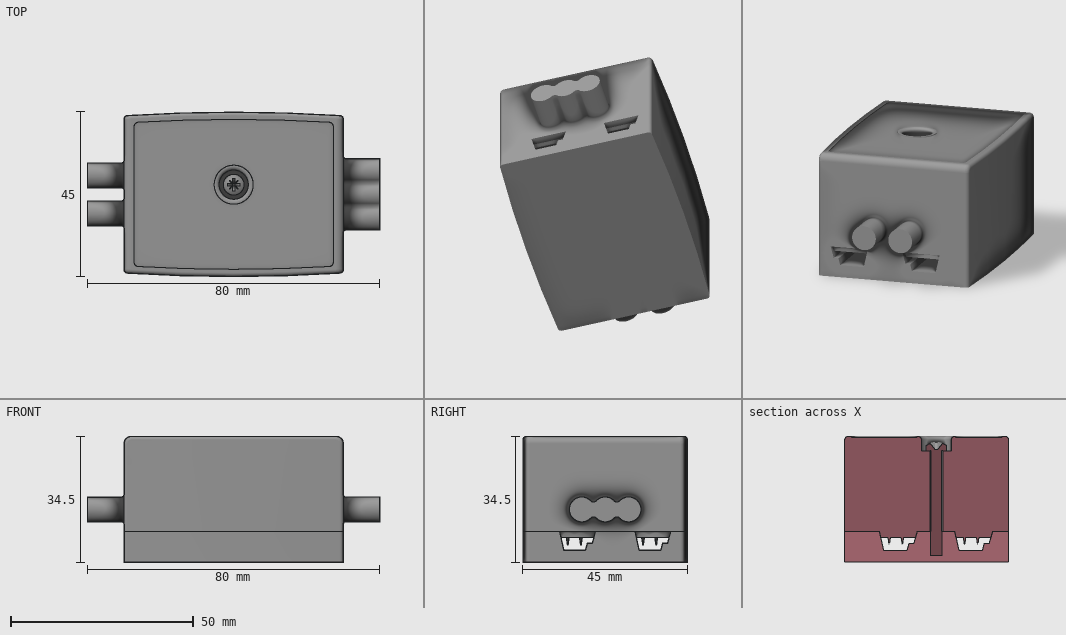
import cadquery as cq
import math

LENGTH = 60.0
WIDTH = 45.0
SIDE_BOW = 1.0
HEIGHT = 34.5
BASE_HEIGHT = 8.5
END_FILLET = 2.0
SIDE_FILLET = 1.0

LABEL_DEPTH = 0.3
LABEL_END_MARGIN = 2.75
LABEL_SIDE_MARGIN = 2.0
LABEL_CORNER = 1.2
LABEL_ISLAND_DIAMETER = 10.67

SCREW_Y = 2.65
WELL_DIAMETER = 8.0
WELL_MOUTH_FILLET = 1.0
WELL_DEPTH = 4.0
CLEARANCE_DIAMETER = 3.5
SHANK_DIAMETER = 3.0
SHANK_END_Z = 2.0
HEAD_DIAMETER = 5.7
HEAD_RIM_HEIGHT = 1.5
HEAD_DOME_HEIGHT = 0.9
DRIVE_SPAN = 3.8
DRIVE_FLOOR = 0.6
DRIVE_WIDTH = 0.75
DRIVE_DEPTH = 2.0
TICK_SPAN = 3.3
TICK_WIDTH = 0.1
TICK_DEPTH = 0.4

CABLE_REACH = 10.0
CABLE_ROOT = 1.0
CABLE_Z = 14.5
CABLE_RADIUS = 3.4
SINGLE_CABLE_OFFSET = 5.2
SINGLE_FLARE = 0.7
TRIPLE_PITCH = 6.4
TRIPLE_FLARE = 0.6
VALLEY_RADIUS = 1.0

CHANNEL_PITCH = 20.6
CHANNEL_TOP_LEFT = 17.95
CHANNEL_LEDGE_OUTER = 17.05
CHANNEL_LEDGE_INNER = 15.7
CHANNEL_FLOOR_LEFT = 15.2
CHANNEL_FLOOR_RIGHT = 8.45
CHANNEL_TOP_RIGHT = 7.3
CHANNEL_LEDGE_Z = 5.3
CHANNEL_FLOOR_Z = 3.4
CHANNEL_TAPER = 0.85
BAR_BOTTOM_Z = 6.8
BAR_END_MARGIN = 2.0
PIN_OFFSETS = (13.95, 10.35)
PIN_ROOT_DIAMETER = 0.8
PIN_TIP_DIAMETER = 0.2
PIN_TIP_Z = 4.75

HALF_LENGTH = LENGTH / 2
WELL_FLOOR_Z = HEIGHT - WELL_DEPTH
CHANNEL_SHIFTS = (0.0, -CHANNEL_PITCH)


def bowed_block(end_margin, side_margin, bottom, top):
    """Block with straight ends and outward-bowed long sides, inset by the given margins."""
    crown = WIDTH / 2 - side_margin
    bow_radius = (HALF_LENGTH**2 + SIDE_BOW**2) / (2 * SIDE_BOW) - side_margin
    half = HALF_LENGTH - end_margin
    corner = crown - bow_radius + math.sqrt(bow_radius**2 - half**2)
    return (
        cq.Workplane("XY", origin=(0, 0, bottom))
        .moveTo(-half, -corner)
        .threePointArc((0, -crown), (half, -corner))
        .lineTo(half, corner)
        .threePointArc((0, crown), (-half, corner))
        .close()
        .extrude(top - bottom)
    )


def cylinder(diameter, x, y, bottom, top):
    return cq.Workplane("XY", origin=(x, y, bottom)).circle(diameter / 2).extrude(top - bottom)


def enclosure_envelope():
    body = bowed_block(0, 0, 0, HEIGHT)
    body = body.faces(">Z").edges("|Y").fillet(END_FILLET)
    return body.faces(">Y or <Y").edges("not <Z").fillet(SIDE_FILLET)


def label_recess():
    pocket = bowed_block(LABEL_END_MARGIN, LABEL_SIDE_MARGIN, HEIGHT - LABEL_DEPTH, HEIGHT)
    pocket = pocket.edges("|Z").fillet(LABEL_CORNER)
    return pocket.cut(cylinder(LABEL_ISLAND_DIAMETER, 0, SCREW_Y, HEIGHT - LABEL_DEPTH, HEIGHT))


def screw_well():
    """Counterbore with a rounded mouth and a clearance hole below it."""
    radius = WELL_DIAMETER / 2
    mouth_radius = radius + WELL_MOUTH_FILLET
    mid = WELL_MOUTH_FILLET * (1 - math.sqrt(0.5))
    return (
        cq.Workplane("XZ", origin=(0, SCREW_Y, 0))
        .moveTo(0, BASE_HEIGHT)
        .lineTo(CLEARANCE_DIAMETER / 2, BASE_HEIGHT)
        .lineTo(CLEARANCE_DIAMETER / 2, WELL_FLOOR_Z)
        .lineTo(radius, WELL_FLOOR_Z)
        .lineTo(radius, HEIGHT - WELL_MOUTH_FILLET)
        .threePointArc((radius + mid, HEIGHT - mid), (mouth_radius, HEIGHT))
        .lineTo(0, HEIGHT)
        .close()
        .revolve(360, (0, 0, 0), (0, 1, 0))
    )


def channel(shift):
    """Stepped slot along X, open at the top of the base, with a tapering -Y wall."""

    def section(taper):
        return [
            (CHANNEL_TOP_LEFT + shift, BASE_HEIGHT),
            (CHANNEL_LEDGE_OUTER + shift, CHANNEL_LEDGE_Z),
            (CHANNEL_LEDGE_INNER + shift, CHANNEL_LEDGE_Z),
            (CHANNEL_FLOOR_LEFT + shift, CHANNEL_FLOOR_Z),
            (CHANNEL_FLOOR_RIGHT + taper + shift, CHANNEL_FLOOR_Z),
            (CHANNEL_TOP_RIGHT + taper + shift, BASE_HEIGHT),
        ]

    return (
        cq.Workplane("YZ", origin=(-HALF_LENGTH, 0, 0))
        .polyline(section(0))
        .close()
        .workplane(offset=LENGTH)
        .polyline(section(CHANNEL_TAPER))
        .close()
        .loft(ruled=True)
    )


def contact_bar(shift):
    """Bar that fills the top of one channel, with tapered contact pins below it."""
    slab = cq.Workplane("XY", origin=(0, 0, BAR_BOTTOM_Z)).box(
        LENGTH - 2 * BAR_END_MARGIN, WIDTH, BASE_HEIGHT - BAR_BOTTOM_Z, centered=(True, True, False)
    )
    bar = channel(shift).intersect(slab)
    for offset in PIN_OFFSETS:
        y = offset + shift
        pin = cq.Solid.makeCone(
            PIN_ROOT_DIAMETER / 2,
            PIN_TIP_DIAMETER / 2,
            BAR_BOTTOM_Z - PIN_TIP_Z,
            pnt=cq.Vector(0, y, BAR_BOTTOM_Z),
            dir=cq.Vector(0, 0, -1),
        )
        bar = bar.union(cq.Workplane(pin))
    return bar


def single_cable(y):
    """Round stub on the -X end, flared where it leaves the cover."""
    flare_mid = SINGLE_FLARE * (1 - math.sqrt(0.5))
    return (
        cq.Workplane("XY", origin=(0, y, CABLE_Z))
        .moveTo(-HALF_LENGTH - CABLE_REACH, 0)
        .lineTo(-HALF_LENGTH - CABLE_REACH, CABLE_RADIUS)
        .lineTo(-HALF_LENGTH - SINGLE_FLARE, CABLE_RADIUS)
        .threePointArc(
            (-HALF_LENGTH - flare_mid, CABLE_RADIUS + flare_mid),
            (-HALF_LENGTH, CABLE_RADIUS + SINGLE_FLARE),
        )
        .lineTo(-HALF_LENGTH + CABLE_ROOT, CABLE_RADIUS + SINGLE_FLARE)
        .lineTo(-HALF_LENGTH + CABLE_ROOT, 0)
        .close()
        .revolve(360, (0, 0, 0), (1, 0, 0))
    )


def triple_cable():
    """Three merged round stubs for the +X end, with rounded valleys between them."""
    start = HALF_LENGTH - CABLE_ROOT
    stubs = cq.Workplane("YZ")
    for y in (-TRIPLE_PITCH, 0, TRIPLE_PITCH):
        stub = cq.Workplane("YZ", origin=(start, y, CABLE_Z)).circle(CABLE_RADIUS)
        stubs = stubs.union(stub.extrude(CABLE_ROOT + CABLE_REACH))
    half_pitch = TRIPLE_PITCH / 2
    valley_height = math.sqrt(CABLE_RADIUS**2 - half_pitch**2)
    mid_x = start + (CABLE_ROOT + CABLE_REACH) / 2
    for side in (-1, 1):
        for up in (-1, 1):
            point = (mid_x, side * half_pitch, CABLE_Z + up * valley_height)
            stubs = stubs.edges(cq.selectors.NearestToPointSelector(point)).fillet(VALLEY_RADIUS)
    return stubs


def make_base(envelope):
    floor = cq.Workplane("XY").box(LENGTH, WIDTH, BASE_HEIGHT, centered=(True, True, False))
    base = envelope.intersect(floor)
    for shift in CHANNEL_SHIFTS:
        base = base.cut(channel(shift))
    return base.cut(cylinder(SHANK_DIAMETER, 0, SCREW_Y, SHANK_END_Z, BASE_HEIGHT))


def make_cover(envelope):
    upper = cq.Workplane("XY", origin=(0, 0, BASE_HEIGHT)).box(
        LENGTH, WIDTH, HEIGHT - BASE_HEIGHT, centered=(True, True, False)
    )
    cover = envelope.intersect(upper).union(triple_cable())
    plane_tolerance = 0.01
    reach = TRIPLE_PITCH + 2 * CABLE_RADIUS
    flare_box = cq.selectors.BoxSelector(
        (HALF_LENGTH - plane_tolerance, -reach, CABLE_Z - CABLE_RADIUS),
        (HALF_LENGTH + plane_tolerance, reach, CABLE_Z + CABLE_RADIUS),
    )
    cover = cover.edges(flare_box).fillet(TRIPLE_FLARE)
    for y in (-SINGLE_CABLE_OFFSET, SINGLE_CABLE_OFFSET):
        cover = cover.union(single_cable(y))
    cover = cover.cut(label_recess()).cut(screw_well())
    for shift in CHANNEL_SHIFTS:
        cover = cover.union(contact_bar(shift))
    return cover


def make_screw():
    """Domed cross-recess screw standing on the floor of the well."""
    head_radius = HEAD_DIAMETER / 2
    shank_radius = SHANK_DIAMETER / 2
    rim_z = WELL_FLOOR_Z + HEAD_RIM_HEIGHT
    top_z = rim_z + HEAD_DOME_HEIGHT
    dome_radius = (head_radius**2 + HEAD_DOME_HEIGHT**2) / (2 * HEAD_DOME_HEIGHT)
    mid_z = top_z - dome_radius + math.sqrt(dome_radius**2 - (head_radius / 2) ** 2)
    screw = (
        cq.Workplane("XZ", origin=(0, SCREW_Y, 0))
        .moveTo(0, SHANK_END_Z)
        .lineTo(shank_radius, SHANK_END_Z)
        .lineTo(shank_radius, WELL_FLOOR_Z)
        .lineTo(head_radius, WELL_FLOOR_Z)
        .lineTo(head_radius, rim_z)
        .threePointArc((head_radius / 2, mid_z), (0, top_z))
        .close()
        .revolve(360, (0, 0, 0), (0, 1, 0))
    )
    arm = (
        cq.Workplane("XZ", origin=(0, DRIVE_WIDTH / 2, top_z))
        .polyline([
            (-DRIVE_SPAN / 2, 0),
            (-DRIVE_FLOOR / 2, -DRIVE_DEPTH),
            (DRIVE_FLOOR / 2, -DRIVE_DEPTH),
            (DRIVE_SPAN / 2, 0),
        ])
        .close()
        .extrude(DRIVE_WIDTH)
    )
    tick = cq.Workplane("XY", origin=(0, 0, top_z - TICK_DEPTH)).box(
        TICK_SPAN, TICK_WIDTH, TICK_DEPTH, centered=(True, True, False)
    )
    for cutter, first_angle in ((arm, 0), (tick, 45)):
        for angle in (first_angle, first_angle + 90):
            turned = cutter.rotate((0, 0, 0), (0, 0, 1), angle).translate((0, SCREW_Y, 0))
            screw = screw.cut(turned)
    return screw


envelope = enclosure_envelope()
base = make_base(envelope)
cover = make_cover(envelope)
screw = make_screw()

bodies = [body.solids().val() for body in (base, cover, screw)]
result = cq.Compound.makeCompound(bodies)